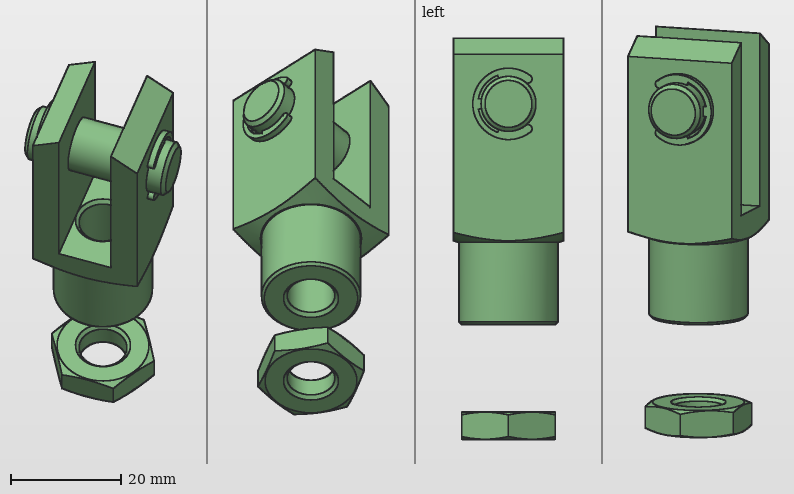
import cadquery as cq
import math

total_height = 72.8

fork_width = 20.0
slot_width = 10.0
fork_height = 37.05
slot_depth = 31.9
tip_angle = 30.0
neck_diameter = 18.0
neck_length = 14.9
neck_chamfer = 0.5
shoulder_slope = 0.36
shoulder_diameter = 18.35

bore_diameter = 8.65
countersink_diameter = 10.0

pin_diameter = 10.0
pin_length = 27.0
pin_chamfer = 0.7
pin_drop = 11.95

clip_outer_radius = 6.5
clip_thickness = 1.2
clip_end_angle = 52.0
clip_relief_radius = 5.5
relief_start_angle = 111.0
relief_end_angle = 170.0

nut_across_flats = 17.0
nut_height = 5.0
nut_face_diameter = 16.7
nut_chamfer_angle = 20.0

fork_bottom = total_height - fork_height
neck_bottom = fork_bottom - neck_length
slot_floor = total_height - slot_depth
pin_z = total_height - pin_drop
pin_radius = pin_diameter / 2
half_fork = fork_width / 2
half_slot = slot_width / 2
countersink_depth = (countersink_diameter - bore_diameter) / 2


def threaded_bore(bottom, top):
    """Cutter for a bore along Z with a 45 degree countersink at both ends."""
    bore = bore_diameter / 2
    mouth = countersink_diameter / 2
    return (
        cq.Workplane("XZ")
        .moveTo(0, bottom)
        .lineTo(mouth, bottom)
        .lineTo(bore, bottom + countersink_depth)
        .lineTo(bore, top - countersink_depth)
        .lineTo(mouth, top)
        .lineTo(0, top)
        .close()
        .revolve(360, (0, 0, 0), (0, 1, 0))
    )


def fork_block():
    """Square block with a slot, sloping tips and a conical shoulder underneath."""
    shoulder_z = total_height - (half_fork - half_slot) * math.tan(math.radians(tip_angle))
    block = (
        cq.Workplane("XZ", origin=(0, half_fork, 0))
        .moveTo(-half_fork, fork_bottom)
        .lineTo(half_fork, fork_bottom)
        .lineTo(half_fork, shoulder_z)
        .lineTo(half_slot, total_height)
        .lineTo(half_slot, slot_floor)
        .lineTo(-half_slot, slot_floor)
        .lineTo(-half_slot, total_height)
        .lineTo(-half_fork, shoulder_z)
        .close()
        .extrude(fork_width)
    )
    shoulder_radius = shoulder_diameter / 2
    cone_radius = fork_width
    cone_top = fork_bottom + (cone_radius - shoulder_radius) * shoulder_slope
    envelope = (
        cq.Workplane("XZ")
        .moveTo(0, fork_bottom)
        .lineTo(shoulder_radius, fork_bottom)
        .lineTo(cone_radius, cone_top)
        .lineTo(cone_radius, total_height)
        .lineTo(0, total_height)
        .close()
        .revolve(360, (0, 0, 0), (0, 1, 0))
    )
    return block.intersect(envelope)


def neck():
    """Round shank below the fork block."""
    return (
        cq.Workplane("XY", origin=(0, 0, neck_bottom))
        .circle(neck_diameter / 2)
        .extrude(neck_length)
        .faces("<Z")
        .chamfer(neck_chamfer)
    )


def pin():
    """Chamfered cross pin along X."""
    return (
        cq.Workplane("YZ", origin=(-pin_length / 2, 0, pin_z))
        .circle(pin_radius)
        .extrude(pin_length)
        .faces("<X or >X")
        .chamfer(pin_chamfer)
    )


def polar(radius, angle):
    """Point in the YZ plane around the pin, with the angle measured from -Y."""
    return (-radius * math.cos(math.radians(angle)), radius * math.sin(math.radians(angle)))


def clip_relief(side):
    """Cutter for the clearance between clip and pin; side is +1 above and -1 below."""
    start = side * relief_start_angle
    end = side * relief_end_angle
    middle = (start + end) / 2
    return (
        cq.Workplane("YZ")
        .moveTo(*polar(pin_radius, start))
        .lineTo(*polar(clip_relief_radius, start))
        .threePointArc(polar(clip_relief_radius, middle), polar(clip_relief_radius, end))
        .lineTo(*polar(pin_radius, end))
        .threePointArc(polar(pin_radius, middle), polar(pin_radius, start))
        .close()
        .extrude(clip_thickness)
    )


def clip(inner_x):
    """Open retaining ring with rounded arm ends, starting at inner_x and reaching toward +X."""
    ring = (
        cq.Workplane("YZ")
        .moveTo(*polar(clip_outer_radius, clip_end_angle))
        .threePointArc(polar(clip_outer_radius, 180), polar(clip_outer_radius, -clip_end_angle))
        .tangentArcPoint(polar(pin_radius, -clip_end_angle), relative=False)
        .threePointArc(polar(pin_radius, 180), polar(pin_radius, clip_end_angle))
        .tangentArcPoint(polar(clip_outer_radius, clip_end_angle), relative=False)
        .close()
        .extrude(clip_thickness)
    )
    for side in (1, -1):
        ring = ring.cut(clip_relief(side))
    return ring.translate((inner_x, 0, pin_z))


def clevis():
    """Fork, shank, pin and clips as one solid."""
    body = fork_block().union(neck()).cut(threaded_bore(neck_bottom, slot_floor))
    body = body.union(pin())
    for inner_x in (-half_fork - clip_thickness, half_fork):
        body = body.union(clip(inner_x))
    return body


def lock_nut():
    """Hexagon nut with corners along X, chamfered on both faces."""
    across_corners = nut_across_flats / math.cos(math.radians(30))
    face_radius = nut_face_diameter / 2
    rim_radius = across_corners
    rim_drop = (rim_radius - face_radius) * math.tan(math.radians(nut_chamfer_angle))
    hexagon = cq.Workplane("XY").polygon(6, across_corners).extrude(nut_height)
    envelope = (
        cq.Workplane("XZ")
        .moveTo(0, 0)
        .lineTo(face_radius, 0)
        .lineTo(rim_radius, rim_drop)
        .lineTo(rim_radius, nut_height - rim_drop)
        .lineTo(face_radius, nut_height)
        .lineTo(0, nut_height)
        .close()
        .revolve(360, (0, 0, 0), (0, 1, 0))
    )
    return hexagon.intersect(envelope).cut(threaded_bore(0, nut_height))


result = cq.Compound.makeCompound([clevis().val(), lock_nut().val()])